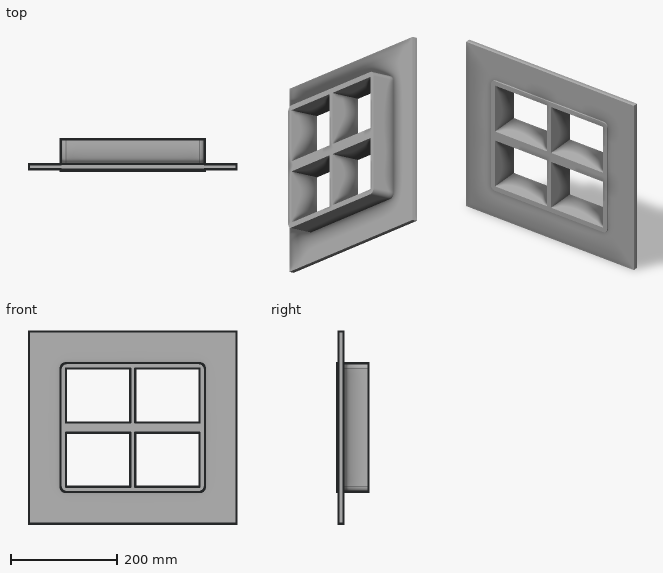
import cadquery as cq

plate_width = 391.0
plate_height = 362.0
plate_thickness = 10.0

frame_depth = 60.0
front_lip = 3.0
corner_radius = 10.0

opening_width = 120.5
opening_height = 101.0
outer_wall = 10.0
upright_bar = 10.0
cross_bar = 20.0

frame_width = 2 * opening_width + upright_bar + 2 * outer_wall
frame_height = 2 * opening_height + cross_bar + 2 * outer_wall
opening_pitch_x = opening_width + upright_bar
opening_pitch_z = opening_height + cross_bar


def block(width, depth, height, front_y):
    """Box centred on X and Z that runs from front_y towards +Y."""
    return cq.Workplane("XY").box(width, depth, height, centered=(True, False, True)).translate((0, front_y, 0))


def make_plate():
    return block(plate_width, plate_thickness, plate_height, front_lip)


def make_frame():
    return block(frame_width, frame_depth, frame_height, 0).edges("|Y").fillet(corner_radius)


def make_openings():
    """Two-by-two set of through openings, divided by the upright and cross bars."""
    return (
        cq.Workplane("XZ")
        .rarray(opening_pitch_x, opening_pitch_z, 2, 2)
        .rect(opening_width, opening_height)
        .extrude(-frame_depth)
    )


result = make_plate().union(make_frame()).cut(make_openings())